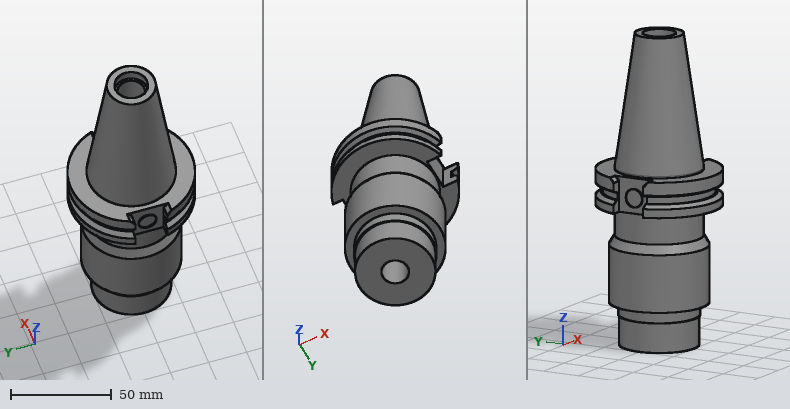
import cadquery as cq

total_height = 158.8
nose_height = 15.2
body_bottom = 21.8
flange_bottom = 71.6
flange_thickness = 18.1
taper_relief = 1.0
neck_length = 15.7
shoulder_length = 4.8
flange_top = flange_bottom + flange_thickness
taper_bottom = flange_top + taper_relief
shoulder_top = flange_bottom - neck_length
shoulder_bottom = shoulder_top - shoulder_length

nose_radius = 20.0
collar_radius = 20.5
body_radius = 25.1
neck_radius = 22.2
flange_radius = 31.8
groove_radius = 28.1
groove_ledge_radius = 28.9
taper_top_radius = 12.2

groove_lip_top = 6.7
groove_floor_top = 8.0
groove_floor_bottom = 11.8
groove_lip_bottom = 13.7

bore_radius = 6.8
counterbore_radius = 8.3
counterbore_depth = 5.1

slot_width = 16.8
slot_chamfer = 2.4
left_slot_floor = 25.1
right_slot_floor = 22.5

pocket_radius = 4.69
pocket_depth = 0.5
pocket_height = 79.5


def turned_body():
    """Revolve the stepped outline, flange, groove and taper."""
    outline = [
        (0, 0),
        (nose_radius, 0),
        (nose_radius, nose_height),
        (collar_radius, nose_height),
        (collar_radius, body_bottom),
        (body_radius, body_bottom),
        (body_radius, shoulder_bottom),
        (neck_radius, shoulder_top),
        (neck_radius, flange_bottom),
        (flange_radius, flange_bottom),
        (flange_radius, flange_top - groove_lip_bottom),
        (groove_ledge_radius, flange_top - groove_floor_bottom),
        (groove_radius, flange_top - groove_floor_bottom),
        (groove_radius, flange_top - groove_floor_top),
        (groove_ledge_radius, flange_top - groove_floor_top),
        (flange_radius, flange_top - groove_lip_top),
        (flange_radius, flange_top),
        (neck_radius, flange_top),
        (neck_radius, taper_bottom),
        (taper_top_radius, total_height),
        (0, total_height),
    ]
    return cq.Workplane("XZ").polyline(outline).close().revolve(360, (0, 0), (0, 1))


def drive_slot(floor, side):
    """Cutter for a slot with chamfered upper edges; side is -1 or +1 along X."""
    half_width = slot_width / 2
    half_mouth = half_width + slot_chamfer
    section = [
        (-half_width, flange_bottom),
        (half_width, flange_bottom),
        (half_width, flange_top - slot_chamfer),
        (half_mouth, flange_top),
        (-half_mouth, flange_top),
        (-half_width, flange_top - slot_chamfer),
    ]
    return (
        cq.Workplane("YZ", origin=(side * floor, 0, 0))
        .polyline(section)
        .close()
        .extrude(side * (flange_radius - floor))
    )


def axial_bore():
    """Through bore with a counterbore at the small end of the taper."""
    bore = cq.Workplane("XY").circle(bore_radius).extrude(total_height)
    counterbore = (
        cq.Workplane("XY", origin=(0, 0, total_height - counterbore_depth))
        .circle(counterbore_radius)
        .extrude(counterbore_depth)
    )
    return bore.union(counterbore)


def slot_pocket():
    """Round blind hole going inward from the left slot floor."""
    return (
        cq.Workplane("YZ", origin=(-left_slot_floor, 0, pocket_height))
        .circle(pocket_radius)
        .extrude(pocket_depth)
    )


result = (
    turned_body()
    .cut(drive_slot(left_slot_floor, -1))
    .cut(drive_slot(right_slot_floor, 1))
    .cut(axial_bore())
    .cut(slot_pocket())
)